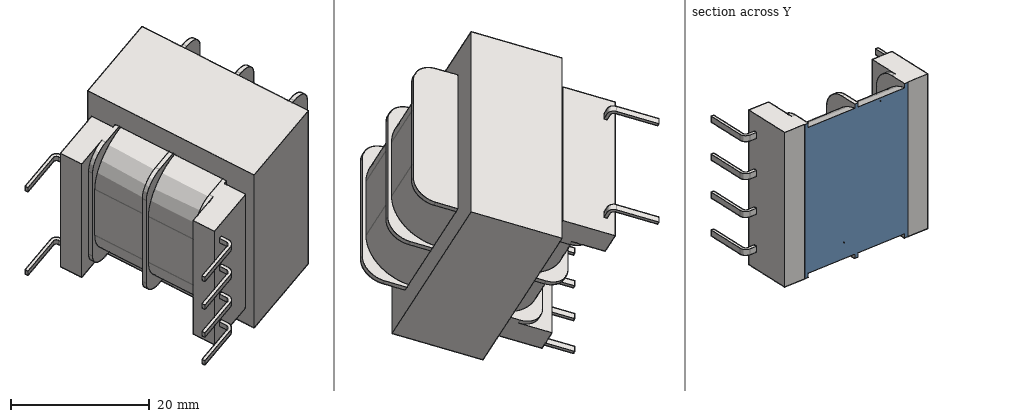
import cadquery as cq


OVERALL_DEPTH = 36.1

CORE_WIDTH = 28.7
CORE_DEPTH = 14.33
CORE_HEIGHT = 34.95

FLANGE_SPAN = 19.2
FLANGE_THICKNESS = 0.7
FLANGE_DEPTH = 28.35
FLANGE_HEIGHT = 25.9
FLANGE_RADIUS = 3.5
FLANGE_PITCH = (FLANGE_SPAN - FLANGE_THICKNESS) / 2

WINDING_SETBACK = 0.58
WINDING_DEPTH = FLANGE_DEPTH - 2 * WINDING_SETBACK
WINDING_HEIGHT = FLANGE_HEIGHT - 2 * WINDING_SETBACK
WINDING_RADIUS = 7.15

BLOCK_WIDTH = 3.68
BLOCK_CLEARANCE = 0.58
BLOCK_FRONT = -16.0
BLOCK_BACK = -CORE_DEPTH / 2 - BLOCK_CLEARANCE
BLOCK_INNER_X = FLANGE_SPAN / 2
BLOCK_OUTER_X = BLOCK_INNER_X + BLOCK_WIDTH

PIN_SPAN = 31.0
PIN_THICKNESS = 0.5
PIN_WIDTH = 1.0
PIN_PITCH = 6.35
PIN_BEND_RADIUS = 1.0
PIN_EMBED = BLOCK_WIDTH / 2
PIN_BACK = -FLANGE_DEPTH / 2
PIN_TIP = FLANGE_DEPTH / 2 - OVERALL_DEPTH
RIGHT_PIN_STEPS = (-1.5, -0.5, 0.5, 1.5)
LEFT_PIN_STEPS = (-1.5, 1.5)


def rounded_plate(thickness, depth, height, radius):
    """Plate centred on the origin, its four edges along X rounded."""
    return cq.Workplane("XY").box(thickness, depth, height).edges("|X").fillet(radius)


def make_core():
    frame = cq.Workplane("XY").box(CORE_WIDTH, CORE_DEPTH, CORE_HEIGHT)
    window = cq.Workplane("XY").box(FLANGE_SPAN, CORE_DEPTH, FLANGE_HEIGHT)
    return frame.cut(window)


def make_coil():
    coil = rounded_plate(
        FLANGE_SPAN - FLANGE_THICKNESS, WINDING_DEPTH, WINDING_HEIGHT, WINDING_RADIUS
    )
    flange = rounded_plate(FLANGE_THICKNESS, FLANGE_DEPTH, FLANGE_HEIGHT, FLANGE_RADIUS)
    for step in (-1, 0, 1):
        coil = coil.union(flange.translate((step * FLANGE_PITCH, 0, 0)))
    return coil


def make_block():
    """Terminal block on the +X side, flush against the outer flange."""
    depth = BLOCK_BACK - BLOCK_FRONT
    return cq.Workplane("XY").box(BLOCK_WIDTH, depth, FLANGE_HEIGHT).translate(
        ((BLOCK_INNER_X + BLOCK_OUTER_X) / 2, (BLOCK_BACK + BLOCK_FRONT) / 2, 0)
    )


def make_pin():
    """Bent pin on the +X side, centred on Z = 0."""
    root_x = BLOCK_OUTER_X - PIN_EMBED
    outer_x = PIN_SPAN / 2
    inner_x = outer_x - PIN_THICKNESS
    inner_y = PIN_BACK - PIN_THICKNESS
    bend_x = outer_x - PIN_BEND_RADIUS
    bend_y = PIN_BACK - PIN_BEND_RADIUS
    inner_radius = PIN_BEND_RADIUS - PIN_THICKNESS
    return (
        cq.Workplane("XY")
        .moveTo(root_x, PIN_BACK)
        .lineTo(bend_x, PIN_BACK)
        .radiusArc((outer_x, bend_y), PIN_BEND_RADIUS)
        .lineTo(outer_x, PIN_TIP)
        .lineTo(inner_x, PIN_TIP)
        .lineTo(inner_x, bend_y)
        .radiusArc((bend_x, inner_y), -inner_radius)
        .lineTo(root_x, inner_y)
        .close()
        .extrude(PIN_WIDTH / 2, both=True)
    )


def make_terminals(pin_steps):
    """Block on the +X side with a pin at each given multiple of the pitch."""
    terminals = make_block()
    pin = make_pin()
    for step in pin_steps:
        terminals = terminals.union(pin.translate((0, 0, step * PIN_PITCH)))
    return terminals


right_terminals = make_terminals(RIGHT_PIN_STEPS)
left_terminals = make_terminals(LEFT_PIN_STEPS).mirror("YZ")
result = make_core().union(make_coil()).union(right_terminals).union(left_terminals)